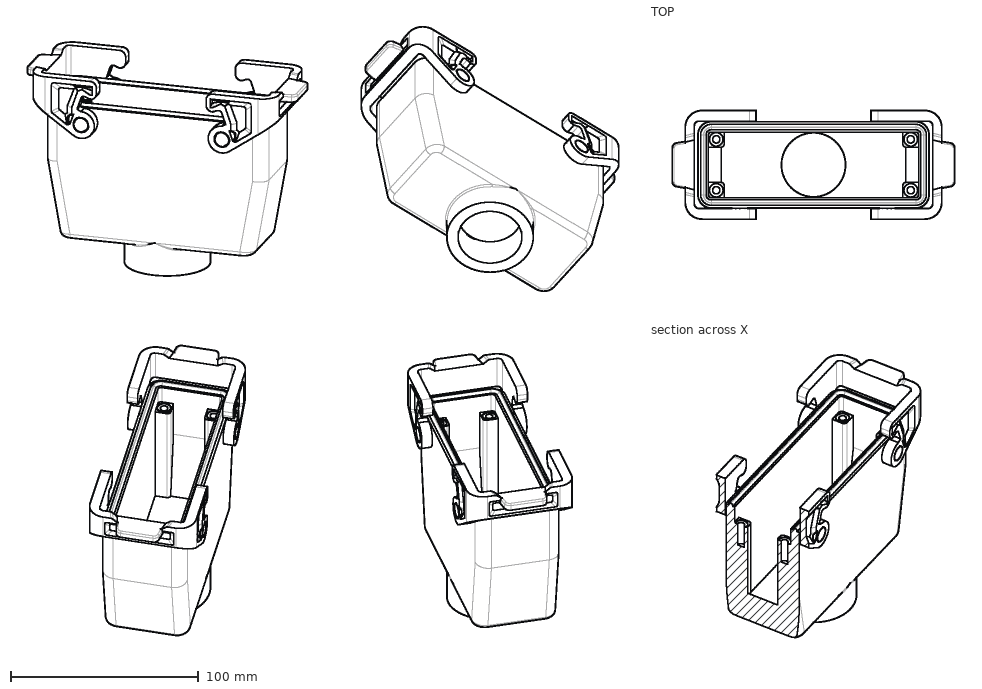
import cadquery as cq
import math

LENGTH = 150.5
WIDTH = 58.0
HEIGHT = 107.9

BODY_LENGTH = 123.1
BODY_WIDTH = 46.0
BODY_BOTTOM = 15.2
BODY_BEND = 58.2
BODY_TOP = 90.6
BODY_CORNER_RADIUS = 7.0
BODY_BOTTOM_FILLET = 3.2
END_TAPER = math.tan(math.radians(10))

WALL = 5.5
FLOOR = 19.4
CAVITY_CORNER_RADIUS = 1.8

RIDGE_INSET = 1.5
RIDGE_WIDTH = 2.9
RIDGE_HEIGHT = 1.7
RIDGE_ROUND = 1.4

NECK_RADIUS = 23.0
BORE_RADIUS = 17.0
NECK_FILLET = 0.9

POST_X = 51.8
POST_Y = 13.5
POST_SIZE = 8.5
POST_TOP = 80.2
POST_EDGE_RADIUS = 1.8
POST_HOLE_RADIUS = 2.0
POST_HOLE_DEPTH = 15.0
POST_RECESS_RADIUS = 3.6
POST_RECESS_DEPTH = 0.5

LEVER_OUTER_X = 68.3
LEVER_END_WALL = 5.0
LEVER_GAP = 0.2
LEVER_CORNER_RADIUS = 9.0
LEVER_INNER_RADIUS = 2.3
LEVER_HEEL_Z = 93.8
PIVOT_X = 39.3
PIVOT_Z = 82.8
PIVOT_RADIUS = 7.5
PIN_RADIUS = 3.9
PIN_GROOVE = 0.3
PIN_GROOVE_DEPTH = 1.5

HOOK_TIP_X = 30.5
HOOK_RADIUS = 3.6
HOOK_BOTTOM = 97.8
THROAT_START_X = 36.7
THROAT_START_Z = 98.9
THROAT_CROWN_X = 38.5
THROAT_CROWN_Z = 98.7
THROAT_SIDE_X = 39.5
THROAT_SIDE_Z = 97.4
THROAT_FOOT_X = 41.4
THROAT_FOOT_Z = 91.5

ARM_POCKET_DEPTH = 1.7
ARM_CORNER_RADIUS = 3.6
END_CORNER_RADIUS = 2.0
END_POCKET_LENGTH = 37.6
END_POCKET_HEIGHT = 9.0
END_POCKET_Z = 99.8
END_POCKET_INSET = 2.3
END_POCKET_DEPTH = 1.7

WEB_LEFT = -55.7
WEB_FLOOR_LEFT = -52.2
WEB_MOUTH = [(WEB_LEFT, 105.0), (-39.9, 105.0), (-44.4, 92.0), (-44.4, 88.5), (-47.0, 82.0), (WEB_LEFT, 88.2)]
WEB_FLOOR = [
    (WEB_FLOOR_LEFT, 102.0),
    (-43.6, 102.0),
    (-47.3, 92.4),
    (-47.3, 88.5),
    (-48.6, 87.3),
    (WEB_FLOOR_LEFT, 90.0),
]
GROOVE_MOUTH = [(-43.6, 105.0), (-32.8, 105.0), (-32.8, 100.2), (-34.0, 100.2), (-38.7, 102.8), (-41.0, 101.7)]
GROOVE_FLOOR = [(-42.7, 103.8), (-33.4, 103.8), (-33.4, 102.3), (-34.0, 102.3), (-38.7, 103.5), (-42.7, 103.1)]
FOOT_MOUTH = [(-47.3, 88.5), (-43.3, 88.3), (-45.5, 82.6), (-47.0, 82.0)]
FOOT_FLOOR = [(-47.1, 87.1), (-46.0, 87.1), (-46.4, 84.3), (-46.7, 84.3)]

TAB_TOP = 105.7
TAB_THICKNESS = 4.4
TAB_ROOT_WIDTH = 26.6
TAB_TIP_WIDTH = 22.5
TAB_CORNER_RADIUS = 3.0
TAB_EDGE_FILLET = 0.9

DIP_OUTER_WIDTH = 24.1
DIP_RUN = 3.0
DIP_ROUND = 1.8

SELECT_MARGIN = 0.8


def rounded_prism(length, width, radius, bottom, top):
    """Upright block centred on the Z axis with rounded vertical edges."""
    block = cq.Workplane("XY").workplane(offset=bottom).rect(length, width).extrude(top - bottom)
    return block.edges("|Z").fillet(radius)


def tapered_hull(length, width, radius, bottom, top):
    """Block whose two ends lean inward below the bend height, with rounded corners."""
    half_top = length / 2
    half_bottom = half_top - (BODY_BEND - bottom) * END_TAPER
    block = (
        cq.Workplane("XZ")
        .moveTo(-half_bottom, bottom)
        .lineTo(half_bottom, bottom)
        .lineTo(half_top, BODY_BEND)
        .lineTo(half_top, top)
        .lineTo(-half_top, top)
        .lineTo(-half_top, BODY_BEND)
        .close()
        .extrude(width / 2, both=True)
    )
    return block.edges("not (|X or |Y)").fillet(radius)


def make_body():
    hull = tapered_hull(BODY_LENGTH, BODY_WIDTH, BODY_CORNER_RADIUS, BODY_BOTTOM, BODY_TOP)
    return hull.faces("<Z").edges().fillet(BODY_BOTTOM_FILLET)


def add_neck(body):
    """Add the round neck, as wide as the body, and blend it into the underside."""
    neck = cq.Workplane("XY").circle(NECK_RADIUS).extrude(BODY_BOTTOM + BODY_BOTTOM_FILLET)
    reach = NECK_RADIUS + NECK_FILLET
    root = cq.selectors.BoxSelector(
        (-reach, -reach, BODY_BOTTOM - NECK_FILLET),
        (reach, reach, BODY_BOTTOM + NECK_FILLET),
        boundingbox=True,
    )
    return body.union(neck).edges(root).fillet(NECK_FILLET)


def make_cavity():
    return tapered_hull(
        BODY_LENGTH - 2 * WALL,
        BODY_WIDTH - 2 * WALL,
        CAVITY_CORNER_RADIUS,
        FLOOR,
        BODY_TOP + RIDGE_HEIGHT,
    )


def make_ridge():
    """Round-topped ridge that runs round the rim."""

    def block(inset):
        return rounded_prism(
            BODY_LENGTH - 2 * inset,
            BODY_WIDTH - 2 * inset,
            BODY_CORNER_RADIUS - inset,
            BODY_TOP,
            BODY_TOP + RIDGE_HEIGHT,
        )

    ring = block(RIDGE_INSET).cut(block(RIDGE_INSET + RIDGE_WIDTH))
    return ring.faces(">Z").edges().fillet(RIDGE_ROUND)


def at_posts(tool):
    """The same solid at all four screw posts, mirrored from the +X +Y one."""
    pair = tool.union(tool.mirror("YZ"))
    return pair.union(pair.mirror("XZ"))


def make_posts():
    """Square posts that merge with the cavity's end and side walls."""
    inner_x = POST_X - POST_SIZE / 2
    inner_y = POST_Y - POST_SIZE / 2
    outer_x = BODY_LENGTH / 2 - WALL / 2
    outer_y = BODY_WIDTH / 2 - WALL / 2
    post = (
        cq.Workplane("XY")
        .workplane(offset=FLOOR)
        .moveTo((inner_x + outer_x) / 2, (inner_y + outer_y) / 2)
        .rect(outer_x - inner_x, outer_y - inner_y)
        .extrude(POST_TOP - FLOOR)
        .edges("|Z and <X and <Y")
        .fillet(POST_EDGE_RADIUS)
    )
    return at_posts(post).intersect(make_body())


def make_post_holes():
    def drill(radius, depth):
        start = cq.Workplane("XY").workplane(offset=POST_TOP - depth)
        return start.moveTo(POST_X, POST_Y).circle(radius).extrude(depth)

    hole = drill(POST_HOLE_RADIUS, POST_HOLE_DEPTH)
    return at_posts(hole.union(drill(POST_RECESS_RADIUS, POST_RECESS_DEPTH)))


def make_lever_profile():
    """Side shape of the -X lever, extruded across the full width."""
    heel_dx = LEVER_OUTER_X - PIVOT_X
    heel_dz = LEVER_HEEL_Z - PIVOT_Z
    tangent_angle = math.atan2(heel_dz, -heel_dx) + math.acos(PIVOT_RADIUS / math.hypot(heel_dx, heel_dz))
    tangent_x = -PIVOT_X + PIVOT_RADIUS * math.cos(tangent_angle)
    tangent_z = PIVOT_Z + PIVOT_RADIUS * math.sin(tangent_angle)
    diagonal = HOOK_RADIUS * math.sqrt(0.5)
    hook_center_x = -HOOK_TIP_X - HOOK_RADIUS
    upper_center_z = HEIGHT - HOOK_RADIUS
    lower_center_z = HOOK_BOTTOM + HOOK_RADIUS

    plate = (
        cq.Workplane("XZ")
        .moveTo(-LEVER_OUTER_X, HEIGHT)
        .lineTo(hook_center_x, HEIGHT)
        .threePointArc((hook_center_x + diagonal, upper_center_z + diagonal), (-HOOK_TIP_X, upper_center_z))
        .lineTo(-HOOK_TIP_X, lower_center_z)
        .threePointArc((hook_center_x + diagonal, lower_center_z - diagonal), (hook_center_x, HOOK_BOTTOM))
        .lineTo(-THROAT_START_X, THROAT_START_Z)
        .threePointArc((-THROAT_CROWN_X, THROAT_CROWN_Z), (-THROAT_SIDE_X, THROAT_SIDE_Z))
        .lineTo(-THROAT_FOOT_X, THROAT_FOOT_Z)
        .lineTo(-PIVOT_X, PIVOT_Z + PIVOT_RADIUS)
        .lineTo(-PIVOT_X, PIVOT_Z)
        .lineTo(tangent_x, tangent_z)
        .lineTo(-LEVER_OUTER_X, LEVER_HEEL_Z)
        .close()
        .extrude(WIDTH / 2, both=True)
    )
    pivot_eye = cq.Workplane("XZ").moveTo(-PIVOT_X, PIVOT_Z).circle(PIVOT_RADIUS).extrude(WIDTH / 2, both=True)
    return plate.union(pivot_eye)


def make_yoke_outline():
    """U shape of both levers seen from above, as one closed ring."""
    outside = rounded_prism(2 * LEVER_OUTER_X, WIDTH, LEVER_CORNER_RADIUS, 0, HEIGHT)
    inside = rounded_prism(
        2 * (LEVER_OUTER_X - LEVER_END_WALL),
        BODY_WIDTH + 2 * LEVER_GAP,
        LEVER_INNER_RADIUS,
        0,
        HEIGHT,
    )
    return outside.cut(inside)


def sloped_recess(mouth, floor, depth):
    """Recess in the -Y arm face with walls that slope from mouth to floor."""
    return (
        cq.Workplane("XZ", origin=(0, -WIDTH / 2, 0))
        .polyline(mouth)
        .close()
        .workplane(offset=-depth)
        .polyline(floor)
        .close()
        .loft(ruled=True)
    )


def make_arm_recesses():
    """Recess in the arm: a wide web, a groove into the hook and a pointed foot."""
    web = sloped_recess(WEB_MOUTH, WEB_FLOOR, ARM_POCKET_DEPTH)
    outer_corners = cq.selectors.BoxSelector(
        (WEB_LEFT + SELECT_MARGIN, -WIDTH, 0),
        (WEB_FLOOR_LEFT - SELECT_MARGIN, 0, HEIGHT),
    )
    web = web.edges(outer_corners).fillet(ARM_CORNER_RADIUS)
    groove = sloped_recess(GROOVE_MOUTH, GROOVE_FLOOR, ARM_POCKET_DEPTH)
    foot = sloped_recess(FOOT_MOUTH, FOOT_FLOOR, ARM_POCKET_DEPTH / 2)
    return web.union(groove).union(foot)


def make_end_recess():
    """Rectangular recess with sloping walls in the end wall of the -X lever."""
    inset = 2 * END_POCKET_INSET
    return (
        cq.Workplane("YZ", origin=(-LEVER_OUTER_X, 0, END_POCKET_Z))
        .rect(END_POCKET_LENGTH, END_POCKET_HEIGHT)
        .workplane(offset=END_POCKET_DEPTH)
        .rect(END_POCKET_LENGTH - inset, END_POCKET_HEIGHT - inset)
        .loft(ruled=True)
        .edges("not (|Y or |Z)")
        .fillet(END_CORNER_RADIUS)
    )


def make_tab_dip():
    """Notch that lowers the end wall to the tab, narrower on the outside of the lever."""

    def section(bottom_width):
        top_width = bottom_width + 2 * DIP_RUN
        return [
            (-top_width / 2, HEIGHT),
            (-bottom_width / 2, TAB_TOP),
            (bottom_width / 2, TAB_TOP),
            (top_width / 2, HEIGHT),
        ]

    return (
        cq.Workplane("YZ", origin=(-LEVER_OUTER_X, 0, 0))
        .polyline(section(DIP_OUTER_WIDTH))
        .close()
        .workplane(offset=LEVER_END_WALL)
        .polyline(section(TAB_ROOT_WIDTH))
        .close()
        .loft(ruled=True)
    )


def make_tab():
    root_x = -LEVER_OUTER_X + LEVER_END_WALL
    return (
        cq.Workplane("XY")
        .workplane(offset=TAB_TOP - TAB_THICKNESS)
        .moveTo(root_x, -TAB_ROOT_WIDTH / 2)
        .lineTo(-LENGTH / 2, -TAB_TIP_WIDTH / 2)
        .lineTo(-LENGTH / 2, TAB_TIP_WIDTH / 2)
        .lineTo(root_x, TAB_ROOT_WIDTH / 2)
        .close()
        .extrude(TAB_THICKNESS)
        .edges("|Z and <X")
        .fillet(TAB_CORNER_RADIUS)
        .faces("<X")
        .edges("|Y")
        .fillet(TAB_EDGE_FILLET)
    )


def make_pin():
    """Pivot pin through both arms, joining the lever to the body's side walls."""
    pin_start = BODY_WIDTH / 2 - WALL / 2
    pin = (
        cq.Workplane("XZ", origin=(0, -pin_start, 0))
        .moveTo(-PIVOT_X, PIVOT_Z)
        .circle(PIN_RADIUS + PIN_GROOVE)
        .extrude(WIDTH / 2 - pin_start)
    )
    return pin.union(pin.mirror("XZ"))


def make_pin_groove():
    """Fine ring between pin and eye in the -Y arm face."""
    return (
        cq.Workplane("XZ", origin=(0, -WIDTH / 2, 0))
        .moveTo(-PIVOT_X, PIVOT_Z)
        .circle(PIN_RADIUS + PIN_GROOVE)
        .circle(PIN_RADIUS)
        .extrude(-PIN_GROOVE_DEPTH)
    )


def cut_tab_dip(yoke):
    """Cut the notch above the tab and round its two upper edges."""
    reach = TAB_ROOT_WIDTH / 2 + 2 * DIP_RUN
    upper_edges = cq.selectors.BoxSelector(
        (-LEVER_OUTER_X - SELECT_MARGIN, -reach, TAB_TOP + SELECT_MARGIN),
        (-LEVER_OUTER_X + LEVER_END_WALL + SELECT_MARGIN, reach, HEIGHT + SELECT_MARGIN),
        boundingbox=True,
    )
    return yoke.cut(make_tab_dip()).edges(upper_edges).fillet(DIP_ROUND)


def make_lever():
    """The -X lever with its pin, tab and recesses."""
    yoke = make_lever_profile().intersect(make_yoke_outline())
    arm_cuts = make_arm_recesses().union(make_pin_groove())
    lever = cut_tab_dip(yoke).cut(make_end_recess()).union(make_tab()).union(make_pin())
    return lever.cut(arm_cuts).cut(arm_cuts.mirror("XZ"))


lever = make_lever()
bore = cq.Workplane("XY").circle(BORE_RADIUS).extrude(BODY_BEND)

housing = add_neck(make_body()).cut(make_cavity()).union(make_ridge()).union(make_posts())
housing = housing.cut(bore).cut(make_post_holes())
result = housing.union(lever).union(lever.mirror("YZ"))